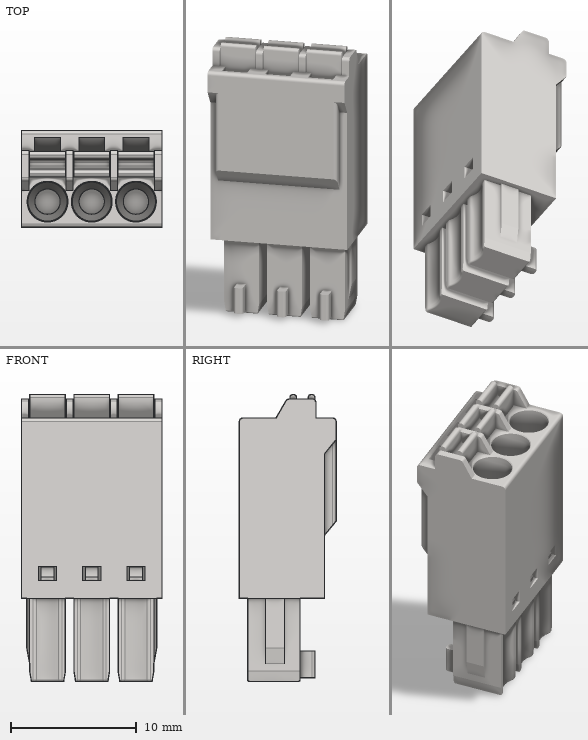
import cadquery as cq
import math


POLE_COUNT = 3
POLE_PITCH = 3.5
POLE_XS = [(i - (POLE_COUNT - 1) / 2) * POLE_PITCH for i in range(POLE_COUNT)]

WIDTH = 11.2
DEPTH = 7.7
BODY_DEPTH = 6.77
BODY_BOTTOM = 6.61
DECK_Z = 20.93
EDGE_ROUND = 0.3
OVERHANG_DROP = 1.15
OVERHANG_BOTTOM = 18.08

RIDGE_WIDTH = 9.95
RIDGE_BOTTOM = 11.6

WALL_TOP = 22.44
WALL_BACK = 6.1
WALL_TOP_FRONT = 3.78
WALL_FOOT_FRONT = 2.92
LEVER_BAY = 2.96

LEVER_WIDTH = 2.85
LEVER_TOP = 22.8
LEVER_FRONT = 4.01
LEVER_BACK = 6.02
LEVER_SINK = 1.87
GRIP_WIDTH = 0.52
GRIP_ROUND = 0.25
CHANNEL_DEPTH = 1.37
CHANNEL_DRAFT = 0.11
CHANNEL_ROUND = 0.25

SLOT_WIDTH = 2.05
SLOT_BACK = 7.15

ENTRY_Y = 2.05
ENTRY_DIAMETER = 3.1
ENTRY_FLOOR_DIAMETER = 2.0
ENTRY_BORE_DEPTH = 2.74
ENTRY_CONE_DEPTH = 0.91
ENTRY_CHAMFER = 0.07

WINDOW_WIDTH = 1.44
WINDOW_BOTTOM = 8.0
WINDOW_HEIGHT = 1.15
RAMP_WIDTH = 1.0
RAMP_FRONT = 0.32
RAMP_STEP = 0.3
RAMP_HEIGHT = 1.07
RAMP_RUN = 0.57

FINGER_WIDTH = 2.85
FINGER_FRONT = 0.65
FINGER_BACK = 4.83
TIP_HEIGHT = 0.82
TIP_INSET = 0.14
TIP_ROUND = 0.14

GROOVE_ANGLE = math.radians(33)
GROOVE_HALF = 0.9
GROOVE_LIP = 0.25

RAIL_FRONT = 2.07
RAIL_BACK = 3.58
RAIL_HEIGHT = 0.23
RAIL_BOTTOM = 1.41
RAIL_TAPER = 1.23

KEY_WIDTH = 0.73
KEY_BACK = 6.02
KEY_BOTTOM = 0.3
KEY_TOP = 2.45
KEY_ROUND = 0.23


def box(x_size, x_center, y0, y1, z0, z1):
    """Box centred on x_center, between two Y and two Z positions."""
    return cq.Workplane(
        cq.Solid.makeBox(x_size, y1 - y0, z1 - z0, cq.Vector(x_center - x_size / 2, y0, z0))
    )


def side_prism(points, x_size, x_center=0.0):
    """Prism along X from a (Y, Z) outline, centred on x_center."""
    start = x_center - x_size / 2
    return cq.Workplane("YZ").workplane(offset=start).polyline(points).close().extrude(x_size)


def housing_block():
    outline = [
        (0, BODY_BOTTOM),
        (BODY_DEPTH, BODY_BOTTOM),
        (BODY_DEPTH, OVERHANG_BOTTOM),
        (DEPTH, OVERHANG_BOTTOM + OVERHANG_DROP),
        (DEPTH, DECK_Z),
        (0, DECK_Z),
    ]
    return side_prism(outline, WIDTH).edges("|X and >Z").fillet(EDGE_ROUND)


def back_ridge():
    outline = [
        (BODY_DEPTH, RIDGE_BOTTOM),
        (DEPTH, RIDGE_BOTTOM + OVERHANG_DROP),
        (DEPTH, OVERHANG_BOTTOM + OVERHANG_DROP),
        (BODY_DEPTH, OVERHANG_BOTTOM + OVERHANG_DROP),
    ]
    return side_prism(outline, RIDGE_WIDTH).edges("|Z and >Y").fillet(EDGE_ROUND)


def guide_walls():
    """Full-width wall block, opened by one bay per lever."""
    outline = [
        (WALL_FOOT_FRONT, DECK_Z),
        (WALL_BACK, DECK_Z),
        (WALL_BACK, WALL_TOP),
        (WALL_TOP_FRONT, WALL_TOP),
    ]
    walls = side_prism(outline, WIDTH).edges("|X and >Z").fillet(EDGE_ROUND)
    for x in POLE_XS:
        walls = walls.cut(box(LEVER_BAY, x, 0, DEPTH, DECK_Z, LEVER_TOP))
    return walls


def groove(x):
    """Hollow arc with rounded lips, running the full length of a finger."""
    sine = math.sin(GROOVE_ANGLE)
    hollow_radius = GROOVE_HALF / sine
    lip_radius = GROOVE_LIP / sine
    rise = 1 - math.cos(GROOVE_ANGLE)
    lip_end_y = FINGER_FRONT + lip_radius * rise
    floor_y = lip_end_y + hollow_radius * rise
    lip_mid_x = GROOVE_HALF + GROOVE_LIP - lip_radius * math.sin(GROOVE_ANGLE / 2)
    lip_mid_y = FINGER_FRONT + lip_radius * (1 - math.cos(GROOVE_ANGLE / 2))
    edge = GROOVE_HALF + GROOVE_LIP
    return (
        cq.Workplane("XY")
        .moveTo(x - edge, FINGER_FRONT)
        .threePointArc((x - lip_mid_x, lip_mid_y), (x - GROOVE_HALF, lip_end_y))
        .threePointArc((x, floor_y), (x + GROOVE_HALF, lip_end_y))
        .threePointArc((x + lip_mid_x, lip_mid_y), (x + edge, FINGER_FRONT))
        .close()
        .extrude(BODY_BOTTOM)
    )


def finger(x):
    """Plug finger with a tapered tip, a front groove and a coding key on its back."""
    half = FINGER_WIDTH / 2
    tip_half = half - TIP_INSET
    body = (
        cq.Workplane("XZ", origin=(x, FINGER_FRONT, 0))
        .polyline([
            (-tip_half, 0),
            (tip_half, 0),
            (half, TIP_HEIGHT),
            (half, BODY_BOTTOM),
            (-half, BODY_BOTTOM),
            (-half, TIP_HEIGHT),
        ])
        .close()
        .extrude(FINGER_FRONT - FINGER_BACK)
        .cut(groove(x))
    )
    body = body.faces("<Z").edges("not |Y").fillet(TIP_ROUND)
    key = box(KEY_WIDTH, x, FINGER_BACK, KEY_BACK, KEY_BOTTOM, KEY_TOP)
    return body.union(key.edges("|Z and >Y").fillet(KEY_ROUND))


def guide_rail(side):
    """Rail on the outer side of an outer finger; side is -1 or 1."""
    root = side * (POLE_XS[-1] + FINGER_WIDTH / 2)
    crest = root + side * RAIL_HEIGHT
    return (
        cq.Workplane("XZ", origin=(0, RAIL_FRONT, 0))
        .polyline([
            (root, RAIL_BOTTOM),
            (crest, RAIL_BOTTOM + RAIL_TAPER),
            (crest, BODY_BOTTOM),
            (root, BODY_BOTTOM),
        ])
        .close()
        .extrude(RAIL_FRONT - RAIL_BACK)
    )


def wire_entry(x):
    top_radius = ENTRY_DIAMETER / 2
    cone_top = DECK_Z - ENTRY_BORE_DEPTH
    floor_z = cone_top - ENTRY_CONE_DEPTH
    return (
        cq.Workplane("XZ", origin=(x, ENTRY_Y, 0))
        .polyline([
            (0, DECK_Z),
            (top_radius + ENTRY_CHAMFER, DECK_Z),
            (top_radius, DECK_Z - ENTRY_CHAMFER),
            (top_radius, cone_top),
            (ENTRY_FLOOR_DIAMETER / 2, floor_z),
            (0, floor_z),
        ])
        .close()
        .revolve(360, (0, 0), (0, 1))
    )


def lever_slot(x):
    """Wedge behind a lever, sloping down to meet its back face."""
    outline = [
        (LEVER_BACK, DECK_Z - LEVER_SINK),
        (SLOT_BACK, DECK_Z),
        (LEVER_BACK, DECK_Z),
    ]
    return side_prism(outline, SLOT_WIDTH, x)


def lever_pocket(x):
    return box(LEVER_WIDTH, x, LEVER_FRONT, LEVER_BACK, DECK_Z - LEVER_SINK, DECK_Z)


def test_window(x):
    """Rectangular recess that leaves a steep ramp standing inside it."""
    ramp_back = RAMP_FRONT + RAMP_RUN
    ramp_top = WINDOW_BOTTOM + RAMP_HEIGHT
    recess = box(WINDOW_WIDTH, x, 0, ramp_back, WINDOW_BOTTOM, WINDOW_BOTTOM + WINDOW_HEIGHT)
    outline = [
        (RAMP_FRONT, WINDOW_BOTTOM),
        (RAMP_FRONT, WINDOW_BOTTOM + RAMP_STEP),
        (ramp_back, ramp_top),
        (ramp_back, WINDOW_BOTTOM),
    ]
    return recess.cut(side_prism(outline, RAMP_WIDTH, x))


def build_housing():
    housing = housing_block().union(back_ridge()).union(guide_walls())
    for x in POLE_XS:
        housing = housing.union(finger(x))
    for side in (-1, 1):
        housing = housing.union(guide_rail(side))
    for x in POLE_XS:
        for cutter in (wire_entry(x), lever_slot(x), lever_pocket(x), test_window(x)):
            housing = housing.cut(cutter)
    return housing


def build_lever(x):
    """Release lever with two round-topped grips and a channel between them."""
    channel_floor = LEVER_TOP - CHANNEL_DEPTH
    front_grip_back = LEVER_FRONT + GRIP_WIDTH
    back_grip_front = LEVER_BACK - GRIP_WIDTH
    outline = [
        (LEVER_FRONT, DECK_Z - LEVER_SINK),
        (LEVER_BACK, DECK_Z - LEVER_SINK),
        (LEVER_BACK, LEVER_TOP),
        (back_grip_front, LEVER_TOP),
        (back_grip_front - CHANNEL_DRAFT, channel_floor),
        (front_grip_back + CHANNEL_DRAFT, channel_floor),
        (front_grip_back, LEVER_TOP),
        (LEVER_FRONT, LEVER_TOP),
    ]
    lever = side_prism(outline, LEVER_WIDTH, x)
    lever = lever.edges("|X and >Z").fillet(GRIP_ROUND)
    return lever.faces("+Z").faces("<Z").edges("|X").fillet(CHANNEL_ROUND)


housing = build_housing()
levers = [build_lever(x) for x in POLE_XS]

result = cq.Compound.makeCompound([housing.val(), *[lever.val() for lever in levers]])